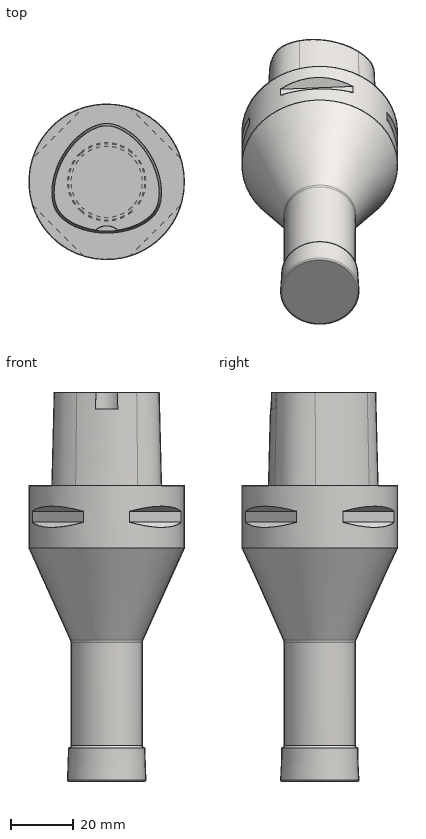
import cadquery as cq
import math

head_rim_z = 10.8
head_top_z = 11.5
cone_bottom_z = 45.0
flange_bottom_z = 75.0
flange_height = 20.0
taper_height = 30.0
flange_top_z = flange_bottom_z + flange_height
top_z = flange_top_z + taper_height

flange_radius = 25.0
shank_radius = 22.9 / 2
cone_blend_radius = 1.9

head_upper_radius = 12.3
head_lower_radius = 12.6
head_bottom_round = 0.5
neck_radius = head_top_z - head_rim_z

taper_base_diameter = 35.3
taper_ratio = 1 / 20
taper_top_diameter = taper_base_diameter - taper_height * taper_ratio
lobe_height = 1.1
lobe_count = 3
lobe_half_angle = 36.0
points_per_face = 9

groove_count = 4
groove_first_angle = 45.0
groove_floor_distance = 22.1
groove_floor_height = 3.5
groove_flank_angle = 30.0
groove_z = flange_bottom_z + flange_height / 2

notch_radius = 5.0
notch_depth = 5.4
notch_floor_y = -14.1


def polygon_point(mean_diameter, angle, z):
    """Point of the lobed outline whose outward normal has the given angle in degrees."""
    normal = math.radians(angle)
    phase = lobe_count * math.radians(angle - 90)
    reach = mean_diameter / 2 + lobe_height * math.cos(phase)
    slide = -lobe_count * lobe_height * math.sin(phase)
    x = reach * math.cos(normal) - slide * math.sin(normal)
    y = reach * math.sin(normal) + slide * math.cos(normal)
    return cq.Vector(x, y, z)


def polygon_edge(mean_diameter, start, end, z):
    """Smooth stretch of the lobed outline between two normal angles."""
    step = (end - start) / (points_per_face - 1)
    angles = [start + i * step for i in range(points_per_face)]
    points = [polygon_point(mean_diameter, angle, z) for angle in angles]
    tangents = [
        cq.Vector(-math.sin(math.radians(angle)), math.cos(math.radians(angle)), 0)
        for angle in (start, end)
    ]
    return cq.Edge.makeSpline(points, tangents=tangents)


def polygon_wire(mean_diameter, z):
    """Closed outline made of alternating lobes and flatter sides."""
    edges = []
    pitch = 360 / lobe_count
    for i in range(lobe_count):
        lobe_angle = 90 + i * pitch
        lobe_start = lobe_angle - lobe_half_angle
        lobe_end = lobe_angle + lobe_half_angle
        edges.append(polygon_edge(mean_diameter, lobe_start, lobe_end, z))
        edges.append(polygon_edge(mean_diameter, lobe_end, lobe_start + pitch, z))
    return cq.Wire.assembleEdges(edges)


def make_taper():
    base = polygon_wire(taper_base_diameter, flange_top_z)
    top = polygon_wire(taper_top_diameter, top_z)
    return cq.Workplane(cq.Solid.makeLoft([base, top], True))


def make_round_holder():
    """Shank, cone and flange, with a blend where the cone meets the shank."""
    body = (
        cq.Workplane("XZ")
        .moveTo(0, head_top_z)
        .lineTo(shank_radius, head_top_z)
        .lineTo(shank_radius, cone_bottom_z)
        .lineTo(flange_radius, flange_bottom_z)
        .lineTo(flange_radius, flange_top_z)
        .lineTo(0, flange_top_z)
        .close()
        .revolve(360, (0, 0, 0), (0, 1, 0))
    )
    blend_edge = cq.selectors.NearestToPointSelector((0, 0, cone_bottom_z))
    return body.edges("%CIRCLE").edges(blend_edge).fillet(cone_blend_radius)


def make_groove_cutter(angle):
    """Straight trapezoidal groove with a flat floor and flared flanks."""
    groove_depth = flange_radius - groove_floor_distance
    floor_half = groove_floor_height / 2
    mouth_half = floor_half + groove_depth * math.tan(math.radians(groove_flank_angle))
    return (
        cq.Workplane("XZ")
        .moveTo(groove_floor_distance, groove_z - floor_half)
        .lineTo(flange_radius, groove_z - mouth_half)
        .lineTo(flange_radius, groove_z + mouth_half)
        .lineTo(groove_floor_distance, groove_z + floor_half)
        .close()
        .extrude(flange_radius, both=True)
        .rotate((0, 0, 0), (0, 0, 1), angle)
    )


def make_notch_cutter():
    """Upright round cutter that opens through the -Y side of the taper."""
    return (
        cq.Workplane("XY", origin=(0, notch_floor_y - notch_radius, top_z - notch_depth))
        .circle(notch_radius)
        .extrude(notch_depth)
    )


def make_holder():
    holder = make_round_holder().union(make_taper())
    for i in range(groove_count):
        holder = holder.cut(make_groove_cutter(groove_first_angle + i * 360 / groove_count))
    return holder.cut(make_notch_cutter())


def make_cutting_head():
    """Slightly flared disc with a concave neck, a level shoulder and a rounded lower edge."""
    neck_drop = neck_radius * (1 - math.sqrt(0.5))
    neck_middle = (shank_radius + neck_drop, head_rim_z + neck_drop)
    return (
        cq.Workplane("XZ")
        .lineTo(head_lower_radius, 0)
        .lineTo(head_upper_radius, head_rim_z)
        .lineTo(shank_radius + neck_radius, head_rim_z)
        .threePointArc(neck_middle, (shank_radius, head_top_z))
        .lineTo(0, head_top_z)
        .close()
        .revolve(360, (0, 0, 0), (0, 1, 0))
        .faces("<Z")
        .edges()
        .fillet(head_bottom_round)
    )


holder = make_holder()
cutting_head = make_cutting_head()
result = cq.Compound.makeCompound([holder.val(), cutting_head.val()])